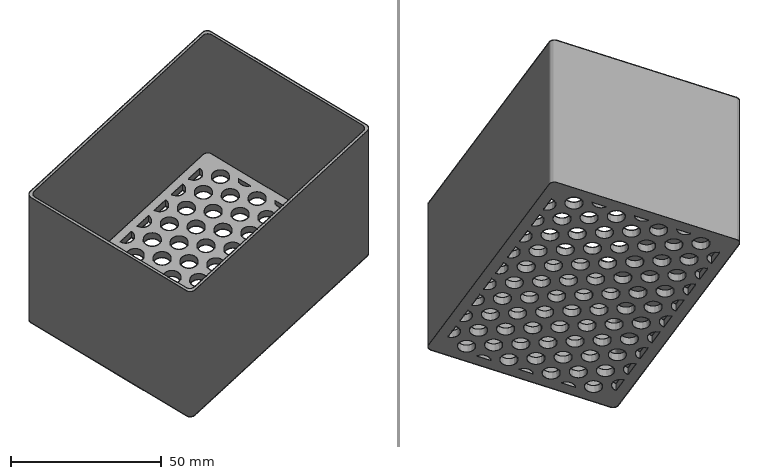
import cadquery as cq
import math

width = 70.0
length = 95.0
height = 62.0
corner_radius = 2.0
wall = corner_radius / 2
floor_thickness = 3.0

window_margin = 4.0
window_width = width - 2 * window_margin
window_length = length - 2 * window_margin

hole_diameter = 6.0
pattern_angle = 60
holes_per_shifted_column = 10
outer_column = 4
end_row = holes_per_shifted_column // 2
row_pitch = (window_length - hole_diameter) / (holes_per_shifted_column - 1)
column_pitch = row_pitch * math.sin(math.radians(pattern_angle))


def rounded_block(block_width, block_length, block_height):
    """Upright block standing on Z = 0 with rounded vertical corners."""
    block = cq.Workplane("XY").rect(block_width, block_length).extrude(block_height)
    return block.edges("|Z").fillet(corner_radius)


def open_box():
    """Box with thin walls and a solid floor."""
    cavity = rounded_block(width - 2 * wall, length - 2 * wall, height)
    cavity = cavity.translate((0, 0, floor_thickness))
    return rounded_block(width, length, height).cut(cavity)


def hole_cutters(centers):
    """Cylinders through the floor at the given centers."""
    return cq.Workplane("XY").pushPoints(centers).circle(hole_diameter / 2).extrude(floor_thickness)


def whole_hole_centers():
    """Holes that lie completely inside the window."""
    centers = []
    for column in range(1 - outer_column, outer_column):
        is_shifted = column % 2 == 1
        first_row = -end_row if is_shifted else 1 - end_row
        shift = row_pitch / 2 if is_shifted else 0
        for row in range(first_row, end_row):
            centers.append((column * column_pitch, row * row_pitch + shift))
    return centers


def edge_hole_centers():
    """Holes that the window sides cut through; its four corners stay solid."""
    centers = []
    for side in (-1, 1):
        for row in range(1 - end_row, end_row):
            centers.append((side * outer_column * column_pitch, row * row_pitch))
        for column in range(2 - outer_column, outer_column, 2):
            centers.append((column * column_pitch, side * end_row * row_pitch))
    return centers


window = cq.Workplane("XY").rect(window_width, window_length).extrude(floor_thickness)
edge_holes = hole_cutters(edge_hole_centers()).intersect(window)

result = open_box().cut(hole_cutters(whole_hole_centers())).cut(edge_holes)